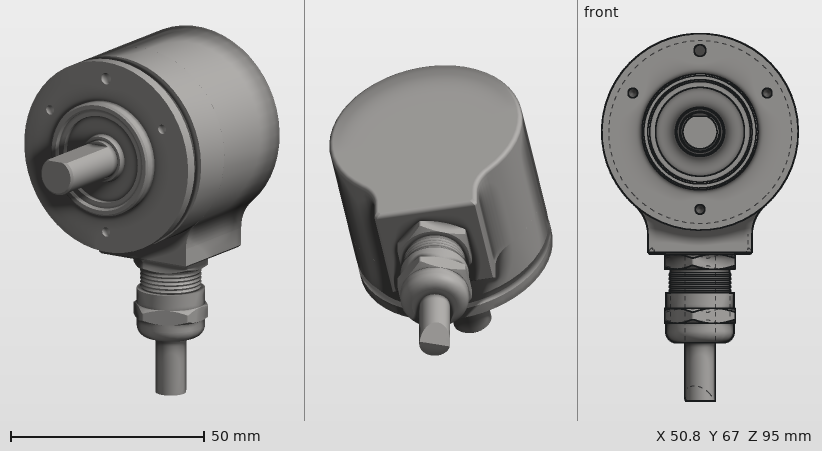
import cadquery as cq
import math


boss_front = -3.4
groove_front = 2.9
groove_back = 6.1
parting_y = 16.9
housing_back = 43.6
overall_length = 67.0
shaft_tip = housing_back - overall_length

housing_radius = 50.8 / 2
groove_radius = 47.3 / 2
boss_radius = 30.0 / 2
boss_edge = 0.5
mouth_chamfer = 0.5
screw_hole_diameter = 2.5
screw_hole_depth = 7.6
screw_circle_radius = 20.0
screw_hole_angles = (30, 150, 270)
drill_point_angle = 118
pin_hole_diameter = 3.0
pin_hole_depth = 5.7
pin_hole_height = 21.0

bearing_radius = 26.0 / 2
bearing_width = 8.0
bearing_front = -2.6
bearing_back = bearing_front + bearing_width
outer_ring_inner_radius = 23.0 / 2
shield_depth = 1.5
inner_ring_base_radius = 6.4
inner_ring_face_radius = 12.0 / 2
bore_chamfer = 0.3

shaft_radius = 10.0 / 2
shaft_tip_chamfer = 0.6
flat_height = 4.0
flat_length = 19.7

foot_half_width = 13.5
foot_bottom = -31.6
foot_fillet = 10.0
cap_back_fillet = 1.1
foot_edge_chamfer = 0.6

gland_y = (parting_y + housing_back) / 2
gland_turn = 202.5
upper_hex_bottom = -35.5
nut_top = -41.6
nut_hex_top = -45.6
nut_hex_bottom = -49.5
nut_bottom = -54.5
overall_height = 95.0
cable_bottom = housing_radius - overall_height

nut_radius = 17.7 / 2
hex_face_radius = 18.0 / 2
dome_fillet = 2.9
stem_radius = 15.3 / 2
thread_radius = 16.0 / 2
thread_pitch = 1.0
thread_count = 5
thread_top = nut_top + thread_count * thread_pitch
cable_radius = 8.0 / 2

hex_corners = [(-9.1, 5.7), (-9.1, -3.8), (-1.9, -10.6)]
hex_edge_fillet = 0.6
hex_end_angle = 30
hex_outer_limit = 11.4


def turned_about_y(profile):
    """Revolve a (radius, y) outline about the shaft axis."""
    return cq.Workplane("XY").polyline(profile).close().revolve(360, (0, 0, 0), (0, 1, 0))


def turned_about_gland(outline):
    """Revolve a closed (radius, z) outline about Z, then move it onto the gland axis."""
    turned = outline.revolve(360, (0, 0, 0), (0, 1, 0)).rotate((0, 0, 0), (0, 0, 1), gland_turn)
    return turned.translate((0, gland_y, 0))


def gland_cylinder(radius, z_bottom, z_top):
    outline = cq.Workplane("XZ").moveTo(0, z_bottom).lineTo(radius, z_bottom).lineTo(radius, z_top)
    return turned_about_gland(outline.lineTo(0, z_top).close())


def gland_hexagon(z_bottom, z_top):
    """Hexagon with rounded corners and conical chamfers on both ends."""
    corners = hex_corners + [(-x, -y) for x, y in hex_corners]
    prism = cq.Workplane("XY", origin=(0, gland_y, z_bottom)).polyline(corners).close()
    prism = prism.extrude(z_top - z_bottom).edges("|Z").fillet(hex_edge_fillet)
    cone_height = (hex_outer_limit - hex_face_radius) * math.tan(math.radians(hex_end_angle))
    envelope = cq.Workplane("XZ").polyline(
        [
            (0, z_bottom),
            (hex_face_radius, z_bottom),
            (hex_outer_limit, z_bottom + cone_height),
            (hex_outer_limit, z_top - cone_height),
            (hex_face_radius, z_top),
            (0, z_top),
        ]
    )
    return prism.intersect(turned_about_gland(envelope.close()))


def make_flange():
    flange = turned_about_y(
        [
            (0, boss_front),
            (boss_radius - boss_edge, boss_front),
            (boss_radius, boss_front + boss_edge),
            (boss_radius, 0),
            (housing_radius, 0),
            (housing_radius, groove_front),
            (groove_radius, groove_front),
            (groove_radius, groove_back),
            (housing_radius, groove_back),
            (housing_radius, parting_y),
            (0, parting_y),
        ]
    )
    bearing_seat = turned_about_y(
        [
            (0, boss_front),
            (bearing_radius + mouth_chamfer, boss_front),
            (bearing_radius, boss_front + mouth_chamfer),
            (bearing_radius, bearing_back),
            (0, bearing_back),
        ]
    )
    flange = flange.cut(bearing_seat)

    hole_radius = screw_hole_diameter / 2
    point_length = hole_radius / math.tan(math.radians(drill_point_angle / 2))
    screw_hole = turned_about_y(
        [
            (0, 0),
            (hole_radius, 0),
            (hole_radius, screw_hole_depth),
            (0, screw_hole_depth + point_length),
        ]
    )
    for angle in screw_hole_angles:
        hole_x = screw_circle_radius * math.cos(math.radians(angle))
        hole_z = screw_circle_radius * math.sin(math.radians(angle))
        flange = flange.cut(screw_hole.translate((hole_x, 0, hole_z)))

    pin_hole = cq.Workplane("XZ").center(0, pin_hole_height).circle(pin_hole_diameter / 2)
    return flange.cut(pin_hole.extrude(-pin_hole_depth))


def make_bearing():
    shield_front = bearing_front + shield_depth
    return turned_about_y(
        [
            (shaft_radius, bearing_front + bore_chamfer),
            (shaft_radius + bore_chamfer, bearing_front),
            (inner_ring_face_radius, bearing_front),
            (inner_ring_base_radius, shield_front),
            (outer_ring_inner_radius, shield_front),
            (outer_ring_inner_radius, bearing_front),
            (bearing_radius, bearing_front),
            (bearing_radius, bearing_back),
            (shaft_radius, bearing_back),
        ]
    )


def make_shaft():
    shaft = turned_about_y(
        [
            (0, shaft_tip),
            (shaft_radius - shaft_tip_chamfer, shaft_tip),
            (shaft_radius, shaft_tip + shaft_tip_chamfer),
            (shaft_radius, bearing_back),
            (0, bearing_back),
        ]
    )
    flat = cq.Workplane("XY", origin=(0, shaft_tip, flat_height)).rect(2 * shaft_radius, 2 * flat_length)
    return shaft.cut(flat.extrude(shaft_radius))


def make_cap():
    reach = housing_radius + foot_fillet
    fillet_x = foot_half_width + foot_fillet
    fillet_z = -math.sqrt(reach**2 - fillet_x**2)
    tangent_x = fillet_x * housing_radius / reach
    tangent_z = fillet_z * housing_radius / reach
    bend = math.atan2(-fillet_z, fillet_x) / 2
    middle_x = fillet_x - foot_fillet * math.cos(bend)
    middle_z = fillet_z + foot_fillet * math.sin(bend)
    cap = (
        cq.Workplane("XZ", origin=(0, housing_back, 0))
        .moveTo(-tangent_x, tangent_z)
        .threePointArc((0, housing_radius), (tangent_x, tangent_z))
        .threePointArc((middle_x, middle_z), (foot_half_width, fillet_z))
        .lineTo(foot_half_width, foot_bottom)
        .lineTo(-foot_half_width, foot_bottom)
        .lineTo(-foot_half_width, fillet_z)
        .threePointArc((-middle_x, middle_z), (-tangent_x, tangent_z))
        .close()
        .extrude(housing_back - parting_y)
    )
    cap = cap.faces(">Y").edges().fillet(cap_back_fillet)
    return cap.faces("<Z").edges().chamfer(foot_edge_chamfer)


def make_gland_body():
    """Hexagon against the foot, with a threaded stem that runs down into the nut."""
    thread = cq.Workplane("XZ").moveTo(0, thread_top).lineTo(stem_radius, thread_top)
    for ring in range(thread_count):
        ring_top = thread_top - ring * thread_pitch
        thread = thread.lineTo(thread_radius, ring_top - thread_pitch / 2)
        thread = thread.lineTo(stem_radius, ring_top - thread_pitch)
    thread = turned_about_gland(thread.lineTo(0, nut_top).close())
    body = gland_hexagon(upper_hex_bottom, foot_bottom)
    body = body.union(gland_cylinder(stem_radius, nut_hex_bottom, upper_hex_bottom)).union(thread)
    return body.cut(gland_cylinder(cable_radius, nut_hex_bottom, foot_bottom))


def make_gland_nut():
    dome_end_radius = nut_radius - dome_fillet
    bulge = dome_fillet * math.sqrt(0.5)
    outline = (
        cq.Workplane("XZ")
        .moveTo(0, nut_top)
        .lineTo(nut_radius, nut_top)
        .lineTo(nut_radius, nut_bottom + dome_fillet)
        .threePointArc(
            (dome_end_radius + bulge, nut_bottom + dome_fillet - bulge),
            (dome_end_radius, nut_bottom),
        )
        .lineTo(0, nut_bottom)
        .close()
    )
    nut = turned_about_gland(outline).union(gland_hexagon(nut_hex_bottom, nut_hex_top))
    nut = nut.cut(gland_cylinder(stem_radius, nut_hex_bottom, nut_top))
    return nut.cut(gland_cylinder(cable_radius, nut_bottom, nut_hex_bottom))


def make_cable():
    """Round cable whose lower end is cut off at 45 degrees on one half."""
    cable = gland_cylinder(cable_radius, cable_bottom, foot_bottom)
    cut_size = 2 * cable_radius
    wedge = (
        cq.Workplane("YZ")
        .polyline([(0, 0), (-cut_size, 0), (-cut_size, cut_size)])
        .close()
        .extrude(cut_size, both=True)
        .rotate((0, 0, 0), (0, 0, 1), gland_turn)
        .translate((0, gland_y, cable_bottom))
    )
    return cable.cut(wedge)


flange = make_flange()
bearing = make_bearing()
shaft = make_shaft()
cap = make_cap()
gland_body = make_gland_body()
gland_nut = make_gland_nut()
cable = make_cable()

result = cq.Compound.makeCompound(
    [
        flange.val(),
        bearing.val(),
        shaft.val(),
        cap.val(),
        gland_body.val(),
        gland_nut.val(),
        cable.val(),
    ]
)